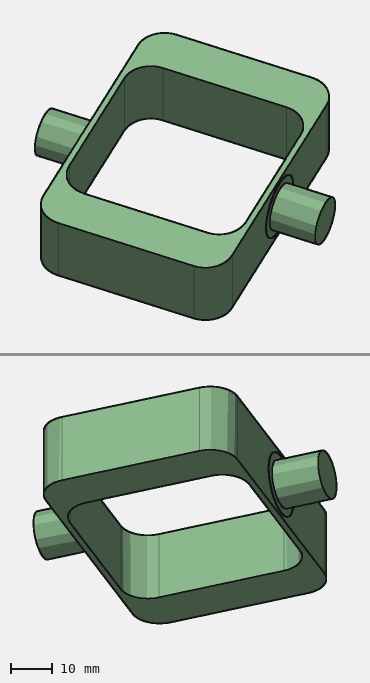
import cadquery as cq

frame_width = 49.8
frame_length = 70.0
frame_height = 18.0
corner_radius = 7.0

window_side = 46.6

pin_span = 74.0
pin_diameter = 12.0
collar_diameter = 16.0
collar_height = 0.15


def rounded_block(width, length):
    """Full-height block centred on the origin with rounded vertical edges."""
    block = cq.Workplane("XY").box(width, length, frame_height)
    return block.edges("|Z").fillet(corner_radius)


def cross_cylinder(diameter, span):
    """Cylinder along X, centred on the origin."""
    return cq.Workplane("YZ").circle(diameter / 2).extrude(span / 2, both=True)


frame = rounded_block(frame_width, frame_length)
collars = cross_cylinder(collar_diameter, frame_width + 2 * collar_height)
pins = cross_cylinder(pin_diameter, pin_span)

window = rounded_block(window_side, window_side)
result = frame.union(collars).union(pins).cut(window)